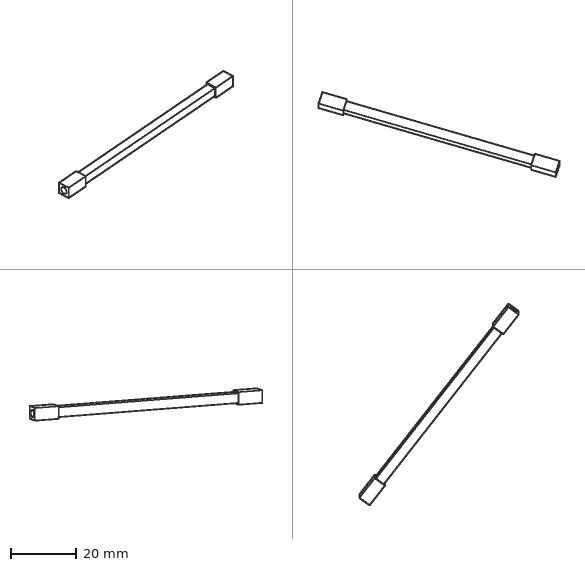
import cadquery as cq

length = 76.4
end_side = 4.0
end_length = 7.95
bar_side = 3.05
bore_diameter = 2.3
bore_depth = end_length


def end_block(direction):
    """Square block at one end of the bar; direction is the sign of Y."""
    center_y = direction * (length - end_length) / 2
    return cq.Workplane("XY").box(end_side, end_length, end_side).translate((0, center_y, 0))


def end_bore(direction):
    """Blind round bore running inward from one end face."""
    center = cq.Vector(0, direction * length / 2, 0)
    inward = cq.Vector(0, -direction, 0)
    return cq.Workplane(cq.Solid.makeCylinder(bore_diameter / 2, bore_depth, center, inward))


result = cq.Workplane("XY").box(bar_side, length, bar_side)
for direction in (-1, 1):
    result = result.union(end_block(direction))
    result = result.cut(end_bore(direction))